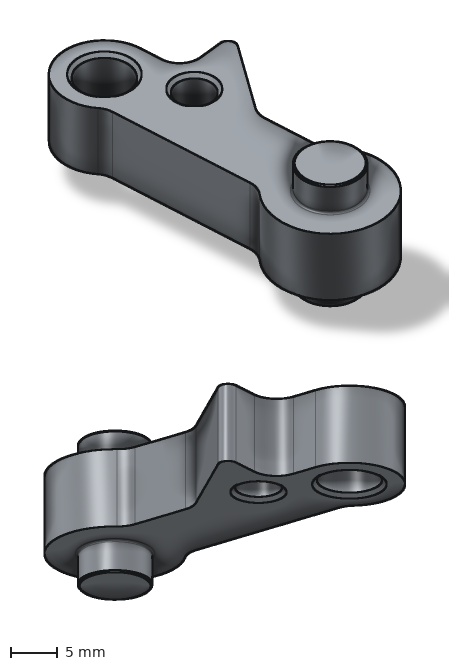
import cadquery as cq
import math

thickness = 9.0
small_end_radius = 6.0
big_end_radius = 7.6
pivot_dx = 31.4
pivot_dy = 4.55
arm_length = math.hypot(pivot_dx, pivot_dy)
arm_angle = math.degrees(math.atan2(pivot_dy, pivot_dx))
arm_top = 5.2
arm_bottom = -4.5

tooth_face_x = small_end_radius
tooth_root_x = 17.1
tooth_slope = 40.0
tooth_tip_radius = 1.1
blend_radius = 3.0

large_hole_radius = 3.5
small_hole_radius = 2.5
small_hole_center = (8.35, 5.5)
hole_chamfer = 0.5

pin_radius = 4.0
pin_length = 16.5
pin_end_chamfer = 0.2
pin_root_fillet = 0.25


def make_plate():
    """Arm, tooth and round ends, with the corners of the outline blended."""
    tooth_tip_y = arm_top + (tooth_root_x - tooth_face_x) * math.tan(math.radians(tooth_slope))
    tooth_tip = (tooth_face_x, tooth_tip_y)
    tooth_heel = (tooth_face_x, small_end_radius)
    tooth_root = (tooth_root_x, arm_top)

    arm = (
        cq.Workplane("XY")
        .polyline([
            (0, arm_bottom),
            (arm_length, arm_bottom),
            (arm_length, arm_top),
            tooth_root,
            tooth_tip,
            tooth_heel,
            (0, small_end_radius),
        ])
        .close()
        .extrude(thickness / 2, both=True)
    )
    small_end = cq.Workplane("XY").circle(small_end_radius).extrude(thickness / 2, both=True)
    big_end = (
        cq.Workplane("XY")
        .center(arm_length, 0)
        .circle(big_end_radius)
        .extrude(thickness / 2, both=True)
    )
    plate = arm.union(small_end).union(big_end)

    small_end_bottom = (math.sqrt(small_end_radius**2 - arm_bottom**2), arm_bottom)
    big_end_bottom = (arm_length - math.sqrt(big_end_radius**2 - arm_bottom**2), arm_bottom)
    big_end_top = (arm_length - math.sqrt(big_end_radius**2 - arm_top**2), arm_top)

    blends = [(tooth_tip, tooth_tip_radius)]
    for corner in (tooth_heel, tooth_root, small_end_bottom, big_end_bottom, big_end_top):
        blends.append((corner, blend_radius))
    for (x, y), radius in blends:
        corner_edge = cq.selectors.NearestToPointSelector((x, y, 0))
        plate = plate.edges("|Z").edges(corner_edge).fillet(radius)

    return plate.rotate((0, 0, 0), (0, 0, 1), arm_angle)


def make_hole(center, radius):
    """Cutter for a through hole that widens to a chamfer at both faces."""
    half = thickness / 2
    profile = [
        (0, -half),
        (radius + hole_chamfer, -half),
        (radius, hole_chamfer - half),
        (radius, half - hole_chamfer),
        (radius + hole_chamfer, half),
        (0, half),
    ]
    cutter = cq.Workplane("XZ").polyline(profile).close().revolve(360, (0, 0), (0, 1))
    return cutter.translate((center[0], center[1], 0))


def add_pin(plate):
    """Pin through the big end, chamfered at its ends and filleted at its roots."""
    pin = (
        cq.Workplane("XY")
        .center(pivot_dx, pivot_dy)
        .circle(pin_radius)
        .extrude(pin_length / 2, both=True)
        .faces("<Z or >Z")
        .chamfer(pin_end_chamfer)
    )
    body = plate.union(pin)
    for side in (-1, 1):
        root_edge = cq.selectors.NearestToPointSelector((pivot_dx, pivot_dy, side * thickness / 2))
        body = body.edges("%CIRCLE").edges(root_edge).fillet(pin_root_fillet)
    return body


plate = make_plate()
plate = plate.cut(make_hole((0, 0), large_hole_radius))
plate = plate.cut(make_hole(small_hole_center, small_hole_radius))
result = add_pin(plate)